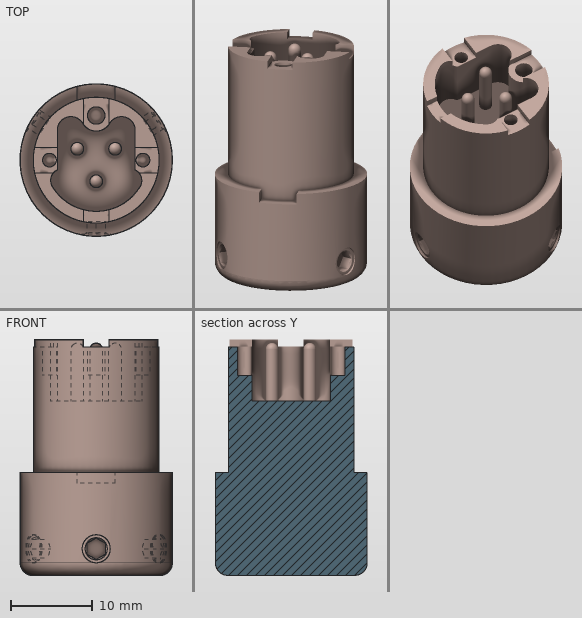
import cadquery as cq
import math

total_height = 29.08
collar_dia = 18.8
collar_height = 12.75
collar_fillet = 1.6
sleeve_dia = 15.5

keyway_width = 4.68
keyway_depth = 1.3

notch_width = 3.15
notch_depth = 0.9

key_hole_dia = 2.15
key_hole_y = 5.5
side_hole_dia = 1.7
side_hole_x = 5.75
rim_hole_depth = 3.5

pocket_depth = 7.55
pocket_radius = 6.3
pocket_half_width = 4.8
lobe_radius = 1.7
key_boss_radius = 1.92
corner_radius = 1.45
corner_x = 4.15

pin_dia = 1.57
pin_tip_recess = 0.45
pin_spacing = 4.65
rear_pin_y = 1.4
front_pin_y = -2.62
pin_places = [
    (-pin_spacing / 2, rear_pin_y),
    (pin_spacing / 2, rear_pin_y),
    (0, front_pin_y),
]

screw_dia = 3.45
screw_height = 3.32
screw_face_radius = 9.1
socket_width = 2.3
socket_depth = 1.5
countersink_dia = 2.73
side_screw_angle = 33.3
front_screw = (-90, 30)
side_screws = [(side_screw_angle, 0), (180 - side_screw_angle, 0)]


def point_on(center, radius, toward):
    """Point at a radius from a center, in the direction of another point."""
    dx = toward[0] - center[0]
    dy = toward[1] - center[1]
    scale = radius / math.hypot(dx, dy)
    return (center[0] + dx * scale, center[1] + dy * scale)


def mirrored(point):
    return (-point[0], point[1])


def make_body():
    collar = cq.Workplane("XY").circle(collar_dia / 2).extrude(collar_height)
    collar = collar.faces("<Z").edges().fillet(collar_fillet)
    keyway = (
        cq.Workplane("XY", origin=(0, collar_dia / 2, collar_height - keyway_depth))
        .rect(keyway_width, collar_dia)
        .extrude(keyway_depth)
    )
    sleeve = cq.Workplane("XY").circle(sleeve_dia / 2).extrude(total_height)
    return collar.cut(keyway).union(sleeve)


def make_notches():
    plane = cq.Workplane("XY", origin=(0, 0, total_height - notch_depth))
    along_x = plane.rect(collar_dia, notch_width).extrude(notch_depth)
    along_y = plane.rect(notch_width, collar_dia).extrude(notch_depth)
    return along_x.union(along_y)


def make_rim_holes():
    plane = cq.Workplane("XY", origin=(0, 0, total_height - notch_depth))
    key_hole = plane.center(0, key_hole_y).circle(key_hole_dia / 2).extrude(-rim_hole_depth)
    side_holes = (
        plane.pushPoints([(-side_hole_x, 0), (side_hole_x, 0)])
        .circle(side_hole_dia / 2)
        .extrude(-rim_hole_depth)
    )
    return key_hole.union(side_holes)


def make_pocket():
    """Pocket of tangent arcs, symmetric about the YZ plane."""
    boss_center = (0, key_hole_y)
    lobe_x = pocket_half_width - lobe_radius
    lobe_drop = math.sqrt((lobe_radius + key_boss_radius) ** 2 - lobe_x**2)
    lobe_center = (lobe_x, key_hole_y - lobe_drop)
    lobe_start = (pocket_half_width, lobe_center[1])
    lobe_top = (lobe_x, lobe_center[1] + lobe_radius)
    lobe_end = point_on(lobe_center, lobe_radius, boss_center)
    boss_bottom = (0, key_hole_y - key_boss_radius)

    corner_y = -math.sqrt((pocket_radius - corner_radius) ** 2 - corner_x**2)
    corner_side = (corner_x + corner_radius, corner_y)
    corner_rise = math.sqrt(corner_radius**2 - (pocket_half_width - corner_x) ** 2)
    wall_bottom = (pocket_half_width, corner_y + corner_rise)
    corner_end = point_on((0, 0), pocket_radius, (corner_x, corner_y))

    return (
        cq.Workplane("XY", origin=(0, 0, total_height - pocket_depth))
        .moveTo(*wall_bottom)
        .lineTo(*lobe_start)
        .threePointArc(lobe_top, lobe_end)
        .threePointArc(boss_bottom, mirrored(lobe_end))
        .threePointArc(mirrored(lobe_top), mirrored(lobe_start))
        .lineTo(*mirrored(wall_bottom))
        .threePointArc(mirrored(corner_side), mirrored(corner_end))
        .threePointArc((0, -pocket_radius), corner_end)
        .threePointArc(corner_side, wall_bottom)
        .close()
        .extrude(pocket_depth)
    )


def make_pins():
    floor_z = total_height - pocket_depth
    pin_radius = pin_dia / 2
    tip_center_height = pocket_depth - pin_tip_recess - pin_radius
    shafts = (
        cq.Workplane("XY", origin=(0, 0, floor_z))
        .pushPoints(pin_places)
        .circle(pin_radius)
        .extrude(tip_center_height)
    )
    tips = (
        cq.Workplane("XY", origin=(0, 0, floor_z + tip_center_height))
        .pushPoints(pin_places)
        .sphere(pin_radius)
    )
    return shafts.union(tips)


def make_screw_recess(direction, socket_turn):
    """Space above a set screw's face plus its countersunk hex socket."""
    angle = math.radians(direction)
    outward = cq.Vector(math.cos(angle), math.sin(angle), 0)
    face_center = outward * screw_face_radius + cq.Vector(0, 0, screw_height)
    face = cq.Workplane(cq.Plane(face_center, xDir=(0, 0, 1), normal=outward))

    bore = face.circle(screw_dia / 2).extrude(collar_dia / 2 - screw_face_radius)
    socket = (
        face.transformed(rotate=(0, 0, socket_turn))
        .polygon(6, socket_width, circumscribed=True)
        .extrude(-socket_depth)
    )
    countersink_depth = (countersink_dia - socket_width) / 2
    countersink = cq.Workplane(
        cq.Solid.makeCone(
            countersink_dia / 2, socket_width / 2, countersink_depth, face_center, outward * -1
        )
    )
    return bore.union(socket).union(countersink)


result = make_body().cut(make_notches()).cut(make_rim_holes()).cut(make_pocket())
result = result.union(make_pins())
for direction, socket_turn in [front_screw] + side_screws:
    result = result.cut(make_screw_recess(direction, socket_turn))